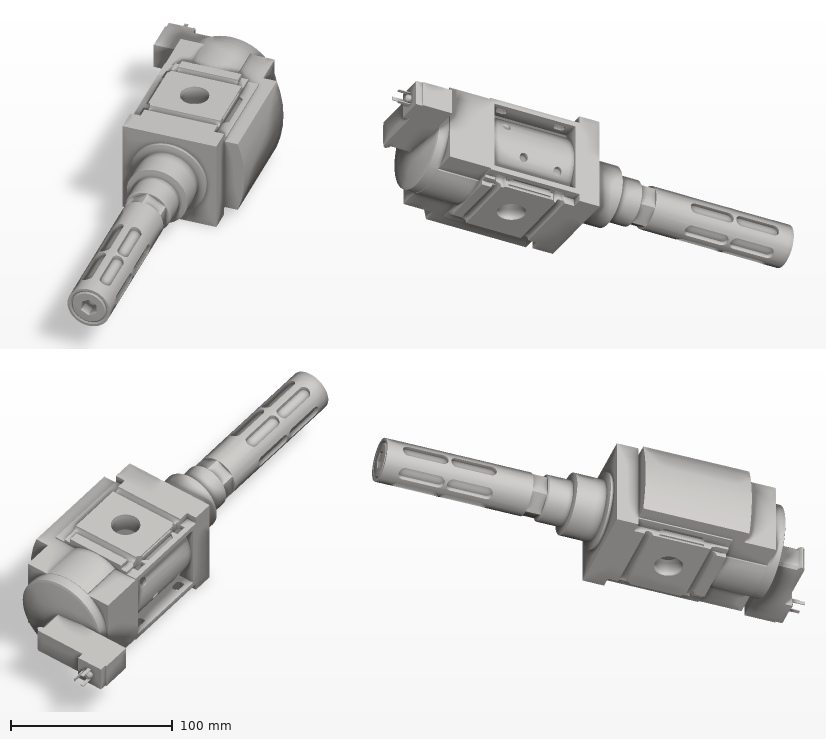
import cadquery as cq
import math


BLOCK_SIDE = 62.0
HALF_SIDE = BLOCK_SIDE / 2
BLOCK_FRONT_Y = -45.3
BLOCK_BACK_Y = 31.0

REAR_BACK_Y = 59.5
REAR_HALF_HEIGHT = 25.3
REAR_BARREL_DIAMETER = 60.5
REAR_BARREL_WIDTH = 30.3
CAP_DIAMETER = 60.0
CAP_BACK_Y = 66.0
DOME_DIAMETER = 57.0
DOME_RIM_Y = 66.7
DOME_TOP_Y = 70.8

COVER_BACK_Y = 38.8
COVER_FRONT_Y = -31.2
COVER_EDGE_X = 40.0
COVER_CROWN_X = 44.5

LEDGE_HALF_HEIGHT = 26.2
LEDGE_INNER_X = 24.0
RECESS_OUTER_X = 27.3
RECESS_DEPTH = 1.5
RECESS_LENGTH = 29.5
RECESS_BEVEL = 2.4
WALL_GROOVE_BOTTOM = 28.5
WALL_GROOVE_TOP = 30.3
WALL_GROOVE_DEPTH = 1.2
GROOVE_Y = 21.7
GROOVE_WIDTH = 5.3
GROOVE_DEPTH = 2.5
CORNER_NOTCH_X = 19.7
CORNER_NOTCH_DEPTH = 3
WINDOW_INNER_X = 22.5
WINDOW_OUTER_X = 27.5
WINDOW_LENGTH = 7.5
WINDOW_Y = 20.3
WINDOW_BEVEL = 1.5

PORT_DIAMETER = 16.0
PORT_MOUTH_DIAMETER = 18.2
PORT_DEPTH = 11.8

POCKET_LENGTH = 56.7
POCKET_HEIGHT = 45.3
POCKET_FLOOR_X = -19.0
CORE_RADIUS = 26.5
CORE_CROWN_X = -29.5
SCREW_HOLE_DIAMETER = 5.5
SCREW_HOLE_FLOOR_X = -25.5
SCREW_HOLE_CENTRES = [(17.5, 11.2), (6.2, -8.5), (-18.0, -11.2)]

COLLAR_DIAMETER = 50
COLLAR_RIM_Y = -47
COLLAR_FRONT_Y = -48.2
NECK_DIAMETER = 40.0
NECK_RIM_Y = -67.3
NECK_FRONT_Y = -68.2
OUTLET_DIAMETER = 30.0
OUTLET_FRONT_Y = -84.3
OUTLET_CHAMFER = 1.0

PLUG_LEFT_X = -52.3
PLUG_HALF_DEPTH = 8.5
PLUG_FRONT_Y = 69.0
PLUG_BACK_Y = 89.3
COIL_RIGHT_X = 1.0
COIL_BEVEL = 1.8
CLIP_RIGHT_X = 2.4
CLIP_FRONT_Y = 85.2
CLIP_BEVEL = 1.8
RAISED_LEFT_X = -51.5
RAISED_RIGHT_X = -33.8
RAISED_BACK_Y = 93.8
PIN_BOSS_X = -43.0
PIN_BOSS_DIAMETER = 5.0
PIN_BOSS_HEIGHT = 3.2
PIN_BOSS_BEVEL = 1.2
BLADE_WIDTH = 2.4
BLADE_THICKNESS = 0.5
SIDE_BLADE_X = -42.5
SIDE_BLADE_Z = 4.0
SIDE_BLADE_BACK_Y = 101.7
EARTH_BLADE_X = -38.5
EARTH_BLADE_BACK_Y = 103.7

HEX_ACROSS_FLATS = 24.0
TUBE_BACK_Y = -94
TUBE_FRONT_Y = -190.2
TUBE_DIAMETER = 28.0
TUBE_CORE_DIAMETER = 22.5
SLOT_WIDTH = 7.0
SLOT_LENGTH = 30.0
SLOT_CENTRES_Y = [-133.0, -165.0]
SLOT_OFFSET_X = 6
END_FACE_DIAMETER = 21.0
END_GROOVE_DIAMETER = 24.7
END_GROOVE_DEPTH = 1.0
SOCKET_ACROSS_FLATS = 10.3
SOCKET_DEPTH = 7.3
SOCKET_HOLE_DIAMETER = 6
SOCKET_HOLE_DEPTH = 8.8


def box(x_range, y_range, z_range):
    """Axis-aligned box between the given limits."""
    size = [high - low for low, high in (x_range, y_range, z_range)]
    middle = [(low + high) / 2 for low, high in (x_range, y_range, z_range)]
    return cq.Workplane("XY").box(*size).translate(tuple(middle))


def rod(diameter, front_y, back_y, x=0):
    """Cylinder along Y."""
    plane = cq.Workplane("XZ", origin=(x, back_y, 0))
    return plane.circle(diameter / 2).extrude(back_y - front_y)


def hexagon(across_flats, front_y, back_y):
    """Hexagonal prism along Y with flats facing -X and +X."""
    corner_diameter = across_flats / math.cos(math.pi / 6)
    prism = cq.Workplane("XZ", origin=(0, back_y, 0)).polygon(6, corner_diameter)
    return prism.extrude(back_y - front_y).rotate((0, 0, 0), (0, 1, 0), 30)


def both_faces(tool):
    """The tool for the upper face together with its mirror image for the lower face."""
    return tool.union(tool.mirror("XY"))


def symmetric(half):
    return (-half, half)


def edge_details(block):
    """Side ledges, each with a shallow recess in it and a groove in the wall above it."""
    for side in (-1, 1):
        inner_x = side * LEDGE_INNER_X
        ledge_x = sorted((inner_x, side * HALF_SIDE))
        ledge = box(ledge_x, (COVER_FRONT_Y, BLOCK_BACK_Y), (LEDGE_HALF_HEIGHT, HALF_SIDE))
        half_length = RECESS_LENGTH / 2
        recess_x = side * RECESS_OUTER_X
        recess = (
            cq.Workplane("XY", origin=(0, 0, LEDGE_HALF_HEIGHT))
            .moveTo(inner_x, -half_length)
            .lineTo(recess_x, RECESS_BEVEL - half_length)
            .lineTo(recess_x, half_length - RECESS_BEVEL)
            .lineTo(inner_x, half_length)
            .close()
            .extrude(-RECESS_DEPTH)
        )
        groove_x = sorted((inner_x, inner_x - side * WALL_GROOVE_DEPTH))
        groove = box(groove_x, symmetric(half_length), (WALL_GROOVE_BOTTOM, WALL_GROOVE_TOP))
        for tool in (ledge, recess, groove):
            block = block.cut(both_faces(tool))
    return block


def cross_grooves(block):
    """Rounded grooves across X, and notches in the two rear corners of each face."""
    for y in (-GROOVE_Y, GROOVE_Y):
        groove = (
            cq.Workplane("YZ")
            .moveTo(y - GROOVE_WIDTH / 2, HALF_SIDE)
            .threePointArc((y, HALF_SIDE - GROOVE_DEPTH), (y + GROOVE_WIDTH / 2, HALF_SIDE))
            .close()
            .extrude(HALF_SIDE, both=True)
        )
        block = block.cut(both_faces(groove))
    for x_range in ((-LEDGE_INNER_X, -CORNER_NOTCH_X), (CORNER_NOTCH_X, LEDGE_INNER_X)):
        notch = box(x_range, (GROOVE_Y, BLOCK_BACK_Y), (HALF_SIDE - CORNER_NOTCH_DEPTH, HALF_SIDE))
        block = block.cut(both_faces(notch))
    return block


def ports(block):
    """Tapered blind port in the upper and the lower face."""
    port = (
        cq.Workplane("XZ")
        .moveTo(0, HALF_SIDE)
        .lineTo(PORT_MOUTH_DIAMETER / 2, HALF_SIDE)
        .lineTo(PORT_DIAMETER / 2, HALF_SIDE - PORT_DEPTH)
        .lineTo(0, HALF_SIDE - PORT_DEPTH)
        .close()
        .revolve(360, (0, 0, 0), (0, 1, 0))
    )
    return block.cut(both_faces(port))


def side_pocket(block):
    """Pocket in the -X side with a rounded core, screw holes and four windows."""
    y_range = symmetric(POCKET_LENGTH / 2)
    z_range = symmetric(POCKET_HEIGHT / 2)
    pocket = box((-HALF_SIDE, POCKET_FLOOR_X), y_range, z_range)
    core = rod(2 * CORE_RADIUS, *y_range, x=CORE_CROWN_X + CORE_RADIUS)
    block = block.cut(pocket.cut(core))
    holes = (
        cq.Workplane("YZ", origin=(-HALF_SIDE, 0, 0))
        .pushPoints(SCREW_HOLE_CENTRES)
        .circle(SCREW_HOLE_DIAMETER / 2)
        .extrude(HALF_SIDE + SCREW_HOLE_FLOOR_X)
    )
    block = block.cut(holes)
    for y in (-WINDOW_Y, WINDOW_Y):
        window = box(
            (-WINDOW_OUTER_X, -WINDOW_INNER_X),
            (y - WINDOW_LENGTH / 2, y + WINDOW_LENGTH / 2),
            (POCKET_HEIGHT / 2, HALF_SIDE),
        )
        window = window.edges("|Z and >X").chamfer(WINDOW_BEVEL)
        block = block.cut(both_faces(window))
    return block


def valve_block():
    full_side = symmetric(HALF_SIDE)
    rear_height = symmetric(REAR_HALF_HEIGHT)
    block = box(full_side, (BLOCK_FRONT_Y, BLOCK_BACK_Y), full_side)
    block = cross_grooves(edge_details(block))
    block = side_pocket(ports(block))
    rear = box(full_side, (BLOCK_BACK_Y, REAR_BACK_Y), rear_height)
    barrel = rod(REAR_BARREL_DIAMETER, BLOCK_BACK_Y, REAR_BACK_Y)
    barrel = barrel.intersect(box(symmetric(REAR_BARREL_WIDTH / 2), (BLOCK_BACK_Y, REAR_BACK_Y), full_side))
    return block.union(rear).union(barrel)


def cover():
    """Plate on the +X side with a crowned outer face."""
    return (
        cq.Workplane("XZ", origin=(0, COVER_BACK_Y, 0))
        .moveTo(HALF_SIDE, -REAR_HALF_HEIGHT)
        .lineTo(COVER_EDGE_X, -REAR_HALF_HEIGHT)
        .threePointArc((COVER_CROWN_X, 0), (COVER_EDGE_X, REAR_HALF_HEIGHT))
        .lineTo(HALF_SIDE, REAR_HALF_HEIGHT)
        .close()
        .extrude(COVER_BACK_Y - COVER_FRONT_Y)
    )


def end_cap():
    """Round cap closed by a shallow dome."""
    dome_radius = DOME_DIAMETER / 2
    rise = DOME_TOP_Y - DOME_RIM_Y
    sphere_radius = (dome_radius**2 + rise**2) / (2 * rise)
    middle_r = dome_radius / 2
    middle_y = DOME_TOP_Y - sphere_radius + math.sqrt(sphere_radius**2 - middle_r**2)
    return (
        cq.Workplane("XY")
        .moveTo(0, REAR_BACK_Y)
        .lineTo(CAP_DIAMETER / 2, REAR_BACK_Y)
        .lineTo(CAP_DIAMETER / 2, CAP_BACK_Y)
        .lineTo(dome_radius, DOME_RIM_Y)
        .threePointArc((middle_r, middle_y), (0, DOME_TOP_Y))
        .close()
        .revolve(360, (0, 0, 0), (0, 1, 0))
    )


def outlet_neck():
    """Collar and neck with conical shoulders, and a short outlet."""
    stages = (
        cq.Workplane("XY")
        .moveTo(0, BLOCK_FRONT_Y)
        .lineTo(COLLAR_DIAMETER / 2, BLOCK_FRONT_Y)
        .lineTo(COLLAR_DIAMETER / 2, COLLAR_RIM_Y)
        .lineTo(NECK_DIAMETER / 2, COLLAR_FRONT_Y)
        .lineTo(NECK_DIAMETER / 2, NECK_RIM_Y)
        .lineTo(OUTLET_DIAMETER / 2, NECK_FRONT_Y)
        .lineTo(OUTLET_DIAMETER / 2, OUTLET_FRONT_Y)
        .lineTo(0, OUTLET_FRONT_Y)
        .close()
        .revolve(360, (0, 0, 0), (0, 1, 0))
    )
    return stages.faces("<Y").chamfer(OUTLET_CHAMFER)


def solenoid():
    """Coil and plug behind the cap, with three contact blades on a small boss."""
    depth = symmetric(PLUG_HALF_DEPTH)
    coil = box((PLUG_LEFT_X, COIL_RIGHT_X), (PLUG_FRONT_Y, PLUG_BACK_Y), depth)
    coil = coil.edges("|Y and >X").chamfer(COIL_BEVEL)
    clip = box((COIL_RIGHT_X - COIL_BEVEL, CLIP_RIGHT_X), (CLIP_FRONT_Y, PLUG_BACK_Y), depth)
    clip = clip.edges("|Z and >X").chamfer(CLIP_BEVEL)
    raised = box((RAISED_LEFT_X, RAISED_RIGHT_X), (PLUG_BACK_Y, RAISED_BACK_Y), depth)
    boss = rod(PIN_BOSS_DIAMETER, RAISED_BACK_Y, RAISED_BACK_Y + PIN_BOSS_HEIGHT, x=PIN_BOSS_X)
    boss = boss.faces(">Y").chamfer(PIN_BOSS_BEVEL)
    body = coil.union(clip).union(raised).union(boss)
    for z in (-SIDE_BLADE_Z, SIDE_BLADE_Z):
        blade = box(
            (SIDE_BLADE_X - BLADE_WIDTH / 2, SIDE_BLADE_X + BLADE_WIDTH / 2),
            (RAISED_BACK_Y, SIDE_BLADE_BACK_Y),
            (z - BLADE_THICKNESS / 2, z + BLADE_THICKNESS / 2),
        )
        body = body.union(blade)
    earth_blade = box(
        (EARTH_BLADE_X - BLADE_THICKNESS / 2, EARTH_BLADE_X + BLADE_THICKNESS / 2),
        (RAISED_BACK_Y, EARTH_BLADE_BACK_Y),
        symmetric(BLADE_WIDTH / 2),
    )
    return body.union(earth_blade)


def valve_body():
    return valve_block().union(cover()).union(end_cap()).union(outlet_neck()).union(solenoid())


def silencer_slots():
    """Round-ended slots from above, below and both sides, down to the silencer core."""
    reach = TUBE_DIAMETER
    slots = cq.Workplane("XY")
    for y in SLOT_CENTRES_Y:
        vertical = (
            cq.Workplane("XY")
            .pushPoints([(-SLOT_OFFSET_X, y), (SLOT_OFFSET_X, y)])
            .slot2D(SLOT_LENGTH, SLOT_WIDTH, 90)
            .extrude(reach, both=True)
        )
        sideways = cq.Workplane("YZ").center(y, 0).slot2D(SLOT_LENGTH, SLOT_WIDTH).extrude(reach, both=True)
        slots = slots.union(vertical).union(sideways)
    return slots.cut(rod(TUBE_CORE_DIAMETER, TUBE_FRONT_Y, TUBE_BACK_Y))


def end_groove():
    """V-shaped ring groove in the front face of the silencer."""
    inner_radius = END_FACE_DIAMETER / 2
    outer_radius = END_GROOVE_DIAMETER / 2
    return (
        cq.Workplane("XY")
        .moveTo(inner_radius, TUBE_FRONT_Y)
        .lineTo((inner_radius + outer_radius) / 2, TUBE_FRONT_Y + END_GROOVE_DEPTH)
        .lineTo(outer_radius, TUBE_FRONT_Y)
        .close()
        .revolve(360, (0, 0, 0), (0, 1, 0))
    )


def silencer_body():
    """Hexagon, slotted tube and socketed end face."""
    socket_y = TUBE_FRONT_Y + SOCKET_DEPTH
    return (
        hexagon(HEX_ACROSS_FLATS, TUBE_BACK_Y, OUTLET_FRONT_Y)
        .union(rod(TUBE_DIAMETER, TUBE_FRONT_Y, TUBE_BACK_Y))
        .cut(silencer_slots())
        .cut(end_groove())
        .cut(hexagon(SOCKET_ACROSS_FLATS, TUBE_FRONT_Y, socket_y))
        .cut(rod(SOCKET_HOLE_DIAMETER, socket_y, socket_y + SOCKET_HOLE_DEPTH))
    )


valve = valve_body()
silencer = silencer_body()
result = cq.Compound.makeCompound([valve.val(), silencer.val()])